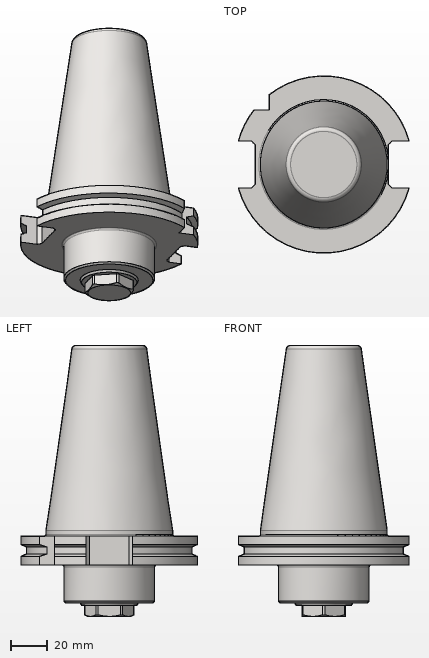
import cadquery as cq
import math


gauge_diameter = 69.85
taper_end_diameter = 40.8
taper_length = 101.75
taper_end_round = 2.5

flange_diameter = 97.5
flange_top = -3.2
flange_bottom = -19.1
flange_root_fillet = 0.8
groove_center = -11.1
groove_floor_diameter = 91.25
groove_floor_width = 3.9
groove_mouth_width = 6.6

slot_width = 25.7
slot_floor_left = 37.7
slot_floor_right = 35.5
slot_corner_chamfer = 2.0
notch_offset = 30.0

body_diameter = 50.0
body_bottom = -40.0
body_root_fillet = 1.0
body_edge_chamfer = 1.0
collar_top_diameter = 32.0
collar_bottom_diameter = 30.4
collar_bottom = -41.3
hex_across_flats = 24.0
hex_corner_diameter = 27.0
hex_bottom = -47.5
hex_end_diameter = 23.5
hex_chamfer_angle = 30.0

gauge_radius = gauge_diameter / 2
taper_end_radius = taper_end_diameter / 2
flange_radius = flange_diameter / 2
groove_floor_radius = groove_floor_diameter / 2
body_radius = body_diameter / 2
flange_height = flange_top - flange_bottom


def make_shank():
    """Tapered shank with a rounded small end and a short cylinder below the gauge plane."""
    profile = (
        cq.Workplane("XZ")
        .moveTo(0, flange_bottom)
        .lineTo(gauge_radius, flange_bottom)
        .lineTo(gauge_radius, 0)
        .lineTo(taper_end_radius, taper_length)
        .lineTo(0, taper_length)
        .close()
    )
    return profile.revolve(360, (0, 0, 0), (0, 1, 0)).faces(">Z").edges().fillet(taper_end_round)


def make_flange():
    """Flange disc with a V-groove and a flat floor around its rim."""
    profile = (
        cq.Workplane("XZ")
        .moveTo(0, flange_bottom)
        .lineTo(flange_radius, flange_bottom)
        .lineTo(flange_radius, groove_center - groove_mouth_width / 2)
        .lineTo(groove_floor_radius, groove_center - groove_floor_width / 2)
        .lineTo(groove_floor_radius, groove_center + groove_floor_width / 2)
        .lineTo(flange_radius, groove_center + groove_mouth_width / 2)
        .lineTo(flange_radius, flange_top)
        .lineTo(0, flange_top)
        .close()
    )
    return profile.revolve(360, (0, 0, 0), (0, 1, 0))


def make_root_fillet(radius, level, size, direction):
    """Concave ring between a cylinder and a flange face; direction +1 rises, -1 hangs."""
    diagonal = size * (1 - math.sqrt(0.5))
    profile = (
        cq.Workplane("XZ")
        .moveTo(0, level)
        .lineTo(radius + size, level)
        .threePointArc(
            (radius + diagonal, level + direction * diagonal),
            (radius, level + direction * size),
        )
        .lineTo(0, level + direction * size)
        .close()
    )
    return profile.revolve(360, (0, 0, 0), (0, 1, 0))


def make_drive_slot(side, floor_distance):
    """Cutter for a drive slot on the +X (side = 1) or -X (side = -1) rim."""
    depth = flange_radius - floor_distance
    return (
        cq.Workplane("XY", origin=(side * (floor_distance + depth / 2), 0, flange_bottom))
        .rect(depth, slot_width)
        .extrude(flange_height)
        .edges("|Z")
        .edges("<X" if side > 0 else ">X")
        .chamfer(slot_corner_chamfer)
    )


def make_notch():
    """Cutter for the square orientation notch in the -X, +Y quarter of the flange."""
    size = flange_radius - notch_offset
    return (
        cq.Workplane("XY", origin=(-notch_offset, notch_offset, flange_bottom))
        .rect(-size, size, centered=False)
        .extrude(flange_height)
    )


def make_body():
    """Cylinder below the flange with a chamfered lower edge."""
    return (
        cq.Workplane("XY", origin=(0, 0, body_bottom))
        .circle(body_radius)
        .extrude(flange_bottom - body_bottom)
        .faces("<Z")
        .edges()
        .chamfer(body_edge_chamfer)
    )


def make_collar():
    """Thin collar under the body, narrowing downwards."""
    return (
        cq.Workplane("XY", origin=(0, 0, body_bottom))
        .circle(collar_top_diameter / 2)
        .workplane(offset=collar_bottom - body_bottom)
        .circle(collar_bottom_diameter / 2)
        .loft()
    )


def make_hex_head():
    """Hexagon head with flats facing +X and -X, turned corners and a conical chamfer."""
    height = collar_bottom - hex_bottom
    across_corners = hex_across_flats / math.cos(math.pi / 6)
    hexagon = (
        cq.Workplane("XY", origin=(0, 0, hex_bottom))
        .transformed(rotate=(0, 0, 90))
        .polygon(6, across_corners)
        .extrude(height)
    )
    corner_radius = hex_corner_diameter / 2
    end_radius = hex_end_diameter / 2
    chamfer_height = (corner_radius - end_radius) * math.tan(math.radians(hex_chamfer_angle))
    turned_envelope = (
        cq.Workplane("XZ")
        .moveTo(0, hex_bottom)
        .lineTo(end_radius, hex_bottom)
        .lineTo(corner_radius, hex_bottom + chamfer_height)
        .lineTo(corner_radius, collar_bottom)
        .lineTo(0, collar_bottom)
        .close()
        .revolve(360, (0, 0, 0), (0, 1, 0))
    )
    return hexagon.intersect(turned_envelope)


flange = (
    make_flange()
    .cut(make_drive_slot(-1, slot_floor_left))
    .cut(make_drive_slot(1, slot_floor_right))
    .cut(make_notch())
)

result = (
    flange.union(make_shank())
    .union(make_root_fillet(gauge_radius, flange_top, flange_root_fillet, 1))
    .union(make_body())
    .union(make_root_fillet(body_radius, flange_bottom, body_root_fillet, -1))
    .union(make_collar())
    .union(make_hex_head())
)